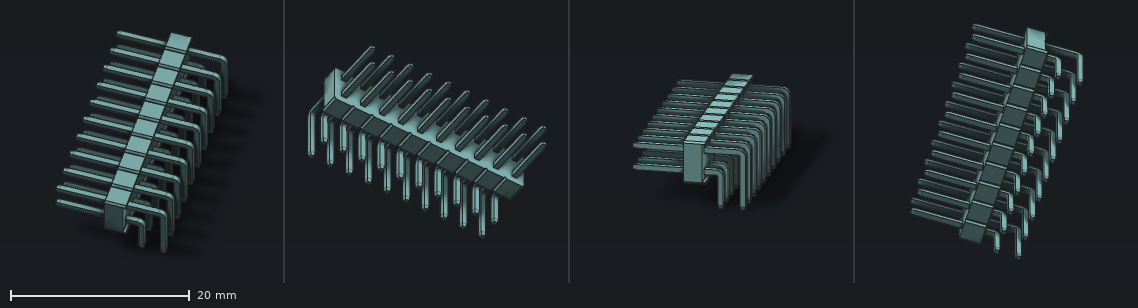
import cadquery as cq


pitch = 2.55
columns = 10

housing_length = columns * pitch
housing_depth = 2.5
housing_height = 4.98
notch_depth = 0.23
recess_depth = 0.33
lip_thickness = 0.3

pin_width = 0.64
bend_outer_radius = 0.85
bend_inner_radius = bend_outer_radius - pin_width
tip_length = 0.45
tip_width = 0.43
front_reach = 6.02
rear_reach = 6.89
tail_end_z = -5.51


def make_housing():
    block = cq.Workplane("XY").box(housing_depth, housing_length, housing_height)
    block = block.translate((housing_depth / 2, 0, 0))

    notch_side = notch_depth * 2 ** 0.5
    for boundary in range(columns + 1):
        y = boundary * pitch - housing_length / 2
        for z in (-housing_height / 2, housing_height / 2):
            bar = cq.Workplane("YZ").rect(notch_side, notch_side).extrude(housing_depth)
            block = block.cut(bar.rotate((0, 0, 0), (1, 0, 0), 45).translate((0, y, z)))

    recess = cq.Workplane("XY").box(recess_depth, housing_length, housing_height - 2 * lip_thickness)
    return block.cut(recess.translate((housing_depth - recess_depth / 2, 0, 0)))


def make_tip():
    """Tapered pin end, pointing along +Z from the origin."""
    return (
        cq.Workplane("XY")
        .rect(pin_width, pin_width)
        .workplane(offset=tip_length)
        .rect(tip_width, tip_width)
        .loft(ruled=True)
    )


def make_pin(row_z, leg_x):
    """Bent square pin centred on Y = 0, with a tapered tip at each end."""
    half = pin_width / 2
    front_x = tip_length - front_reach
    leg_bottom = tail_end_z + tip_length
    bend_x = leg_x + half - bend_outer_radius
    bend_z = row_z + half - bend_outer_radius
    diagonal = 0.5 ** 0.5

    bar = (
        cq.Workplane("XZ")
        .moveTo(front_x, row_z + half)
        .lineTo(bend_x, row_z + half)
        .threePointArc(
            (bend_x + bend_outer_radius * diagonal, bend_z + bend_outer_radius * diagonal),
            (leg_x + half, bend_z),
        )
        .lineTo(leg_x + half, leg_bottom)
        .lineTo(leg_x - half, leg_bottom)
        .lineTo(leg_x - half, bend_z)
        .threePointArc(
            (bend_x + bend_inner_radius * diagonal, bend_z + bend_inner_radius * diagonal),
            (bend_x, row_z - half),
        )
        .lineTo(front_x, row_z - half)
        .close()
        .extrude(half, both=True)
    )
    front_tip = make_tip().rotate((0, 0, 0), (0, 1, 0), -90).translate((front_x, 0, row_z))
    tail_tip = make_tip().rotate((0, 0, 0), (1, 0, 0), 180).translate((leg_x, 0, leg_bottom))
    return bar.union(front_tip).union(tail_tip)


upper_leg_x = rear_reach - pin_width / 2
lower_leg_x = upper_leg_x - pitch

upper_pin = make_pin(pitch / 2, upper_leg_x)
lower_pin = make_pin(-pitch / 2, lower_leg_x)

result = make_housing()
for column in range(columns):
    column_y = (column + 0.5) * pitch - housing_length / 2
    for pin in (lower_pin, upper_pin):
        result = result.union(pin.translate((0, column_y, 0)))